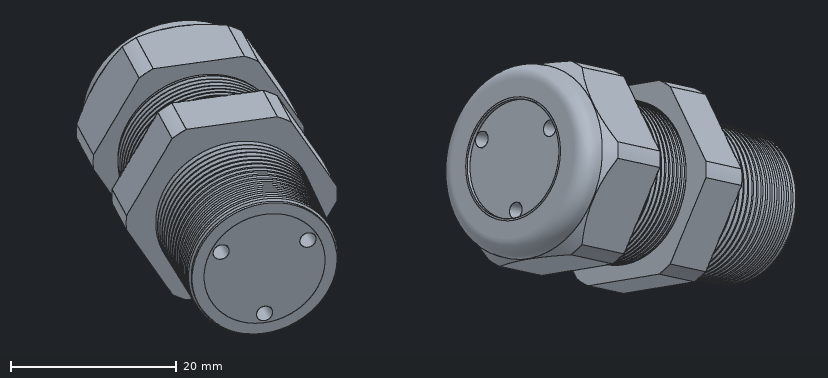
import cadquery as cq
import math

LENGTH = 41.9
ACROSS_FLATS = 23.9
ACROSS_CORNERS = 26.5

DOME_RADIUS = 11.9
DOME_FILLET = 2.0
COLLAR_END = 2.75
CAP_END = 11.85

HEX_START = 20.35
HEX_END = 26.95

FLANK_ANGLE = math.radians(30)
CREST_SLOPE = 1 / 32

MID_ROOT_RADIUS = 9.72
MID_CREST_RADIUS = 10.35
MID_FIRST_CREST = 11.75
MID_LAST_CREST = 20.15
MID_TEETH = 12

END_ROOT_RADIUS = 9.1
END_CREST_RADIUS = 9.8
END_FIRST_CREST = 27.83
END_LAST_CREST = 41.07
END_TEETH = 16

NECK_RADIUS = 8.95
NECK_FILLET = 0.65

INSERT_RADIUS = 7.6
RECESS_RADIUS = 7.35
RECESS_DEPTH = 0.5
CABLE_HOLE_DIAMETER = 2.0
CABLE_HOLE_CIRCLE_RADIUS = 6.3
CABLE_HOLES = 3


def cylinder(radius, start, end):
    """Solid cylinder on the X axis."""
    return cq.Workplane("YZ").workplane(offset=start).circle(radius).extrude(end - start)


def revolve_profile(profile):
    """Turn a closed (x, radius) outline in the XY plane about the X axis."""
    return profile.close().revolve(360, (0, 0, 0), (1, 0, 0))


def hexagon(start, end):
    """Hexagonal prism on the X axis, two corners along Y, with its corners rounded to a cylinder."""
    prism = (
        cq.Workplane("YZ")
        .workplane(offset=start)
        .polygon(6, ACROSS_FLATS / math.cos(math.pi / 6))
        .extrude(end - start)
    )
    return prism.intersect(cylinder(ACROSS_CORNERS / 2, start, end))


def thread_points(root_radius, crest_radius, first_crest, last_crest, teeth):
    """(x, radius) points of a row of teeth with crests flattened by the taper."""
    pitch = (last_crest - first_crest) / (teeth - 1)
    sharp_radius = root_radius + pitch / 2 / math.tan(FLANK_ANGLE)
    points = [(first_crest - pitch / 2, root_radius)]
    for i in range(teeth):
        crest = first_crest + i * pitch
        radius = crest_radius - (crest - first_crest) * CREST_SLOPE
        half_flat = (sharp_radius - radius) * math.tan(FLANK_ANGLE)
        points += [
            (crest - half_flat, radius),
            (crest + half_flat, radius),
            (crest + pitch / 2, root_radius),
        ]
    return points


def cap_nut():
    """Domed hexagon nut at the front, chamfered where the hexagon meets the dome."""
    dome = cylinder(DOME_RADIUS, 0, CAP_END).faces("<X").edges().fillet(DOME_FILLET)
    corner_radius = ACROSS_CORNERS / 2
    chamfer_end = COLLAR_END + corner_radius - DOME_RADIUS
    envelope = revolve_profile(
        cq.Workplane("XY")
        .moveTo(COLLAR_END, 0)
        .lineTo(COLLAR_END, DOME_RADIUS)
        .lineTo(chamfer_end, corner_radius)
        .lineTo(CAP_END, corner_radius)
        .lineTo(CAP_END, 0)
    )
    return dome.union(hexagon(COLLAR_END, CAP_END).intersect(envelope))


def middle_thread():
    """Teeth whose outer ends are buried in the cap nut and the hexagon."""
    points = thread_points(
        MID_ROOT_RADIUS, MID_CREST_RADIUS, MID_FIRST_CREST, MID_LAST_CREST, MID_TEETH
    )
    outline = cq.Workplane("XY").moveTo(points[0][0], 0)
    for point in points:
        outline = outline.lineTo(*point)
    return revolve_profile(outline.lineTo(points[-1][0], 0))


def rear_thread():
    """Neck swept up by an arc and a short step to the first crest, then the teeth and a plain end."""
    points = thread_points(
        END_ROOT_RADIUS, END_CREST_RADIUS, END_FIRST_CREST, END_LAST_CREST, END_TEETH
    )
    after_first_crest = points[2:]
    fillet_end = (after_first_crest[0][0], NECK_RADIUS + NECK_FILLET)
    fillet_start = fillet_end[0] - NECK_FILLET
    fillet_middle = (
        fillet_start + NECK_FILLET * math.sin(math.pi / 4),
        NECK_RADIUS + NECK_FILLET * (1 - math.cos(math.pi / 4)),
    )
    outline = (
        cq.Workplane("XY")
        .moveTo(HEX_END, 0)
        .lineTo(HEX_END, NECK_RADIUS)
        .lineTo(fillet_start, NECK_RADIUS)
        .threePointArc(fillet_middle, fillet_end)
    )
    for point in after_first_crest:
        outline = outline.lineTo(*point)
    return revolve_profile(outline.lineTo(LENGTH, END_ROOT_RADIUS).lineTo(LENGTH, 0))


def make_gland():
    """Cap nut, both threads and the hexagon in one piece, bored through."""
    gland = cap_nut().union(middle_thread()).union(hexagon(HEX_START, HEX_END)).union(rear_thread())
    return gland.cut(cylinder(INSERT_RADIUS, 0, LENGTH))


def make_insert():
    """Plug filling the bore, with a shallow front recess and cable holes; one hole is lowest."""
    insert = cylinder(INSERT_RADIUS, 0, LENGTH).cut(cylinder(RECESS_RADIUS, 0, RECESS_DEPTH))
    for i in range(CABLE_HOLES):
        angle = math.radians(-90 + i * 360 / CABLE_HOLES)
        y = CABLE_HOLE_CIRCLE_RADIUS * math.cos(angle)
        z = CABLE_HOLE_CIRCLE_RADIUS * math.sin(angle)
        insert = insert.cut(cylinder(CABLE_HOLE_DIAMETER / 2, 0, LENGTH).translate((0, y, z)))
    return insert


gland = make_gland()
insert = make_insert()
result = cq.Compound.makeCompound([gland.val(), insert.val()])